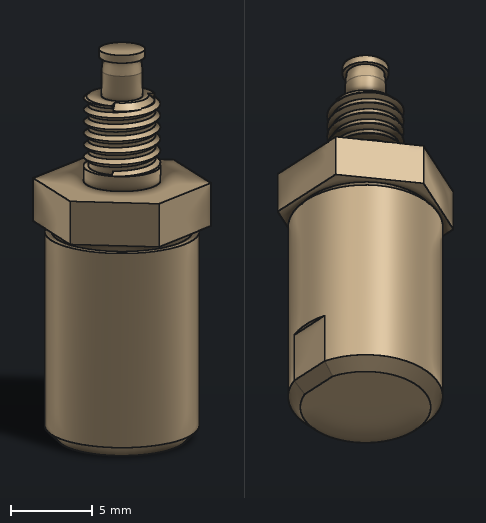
import cadquery as cq
import math

barrel_top = 13.23
hex_bottom = 13.73
hex_top = 16.5
collar_top = 17.45
stud_top = 21.97
pin_taper_bottom = 23.6
pin_head_bottom = 24.47
pin_top = 24.97

barrel_radius = 4.77
barrel_chamfer = 0.75
flat_depth = 0.22
flat_height = 4.1

across_flats = 2 * barrel_radius
across_corners = across_flats / math.cos(math.pi / 6)
neck_radius = 4.35

crest_radius = 2.37
root_radius = 2.07
stud_tip_radius = 1.65
tip_bevel_height = 0.4
tip_bevel_sweep = 120
thread_turns = 6
thread_pitch = (stud_top - collar_top) / thread_turns
thread_half_width = 0.25
thread_end_angle = -40
thread_embed = 0.05

pin_radius = 1.27
pin_waist_radius = 1.17
pin_head_radius = 1.42


def cylinder(radius, bottom, top):
    return cq.Workplane("XY").workplane(offset=bottom).circle(radius).extrude(top - bottom)


def make_barrel():
    body = cylinder(barrel_radius, 0, barrel_top).faces("<Z").chamfer(barrel_chamfer)
    flat_y = barrel_radius - flat_depth
    flat_cutter = (
        cq.Workplane("YZ")
        .moveTo(flat_y - barrel_chamfer, 0)
        .lineTo(flat_y, barrel_chamfer)
        .lineTo(flat_y, flat_height)
        .lineTo(2 * barrel_radius, flat_height)
        .lineTo(2 * barrel_radius, 0)
        .close()
        .extrude(barrel_radius, both=True)
    )
    return body.cut(flat_cutter)


def make_hex_body():
    neck = cylinder(neck_radius, barrel_top, hex_bottom)
    hexagon = (
        cq.Workplane("XY")
        .workplane(offset=hex_bottom)
        .polygon(6, across_corners)
        .extrude(hex_top - hex_bottom)
    )
    return neck.union(hexagon)


def make_thread_ridge():
    """Right-handed V ridge, trimmed level with the collar and the stud top."""
    base_radius = root_radius - thread_embed
    base_half_width = thread_half_width * (crest_radius - base_radius) / (crest_radius - root_radius)
    helix = cq.Wire.makeHelix(thread_pitch, stud_top - collar_top, base_radius)
    ridge = (
        cq.Workplane("XZ")
        .moveTo(base_radius, -base_half_width)
        .lineTo(crest_radius, 0)
        .lineTo(base_radius, base_half_width)
        .close()
        .sweep(cq.Workplane(obj=helix), isFrenet=True)
        .rotate((0, 0, 0), (0, 0, 1), thread_end_angle)
        .translate((0, 0, collar_top))
    )
    return ridge.intersect(cylinder(2 * crest_radius, collar_top, stud_top))


def make_tip_bevel_cutter():
    """Sector of a conical bevel, running counterclockwise from the end of the thread."""
    return (
        cq.Workplane("XZ")
        .moveTo(stud_tip_radius, stud_top)
        .lineTo(root_radius, stud_top - tip_bevel_height)
        .lineTo(crest_radius, stud_top - tip_bevel_height)
        .lineTo(crest_radius, stud_top)
        .close()
        .revolve(tip_bevel_sweep, (0, 0), (0, 1))
        .rotate((0, 0, 0), (0, 0, 1), thread_end_angle)
    )


def make_stud():
    collar = cylinder(crest_radius, hex_top, collar_top)
    core = cylinder(root_radius, collar_top, stud_top).cut(make_tip_bevel_cutter())
    return core.union(make_thread_ridge()).union(collar)


def make_pin():
    return (
        cq.Workplane("XZ")
        .moveTo(0, stud_top)
        .lineTo(pin_radius, stud_top)
        .lineTo(pin_radius, pin_taper_bottom)
        .lineTo(pin_waist_radius, pin_head_bottom)
        .lineTo(pin_head_radius, pin_head_bottom)
        .lineTo(pin_head_radius, pin_top)
        .lineTo(0, pin_top)
        .close()
        .revolve(360, (0, 0), (0, 1))
    )


barrel = make_barrel()
hex_body = make_hex_body()
stud = make_stud()
pin = make_pin()

result = cq.Compound.makeCompound([barrel.val(), hex_body.val(), stud.val(), pin.val()])